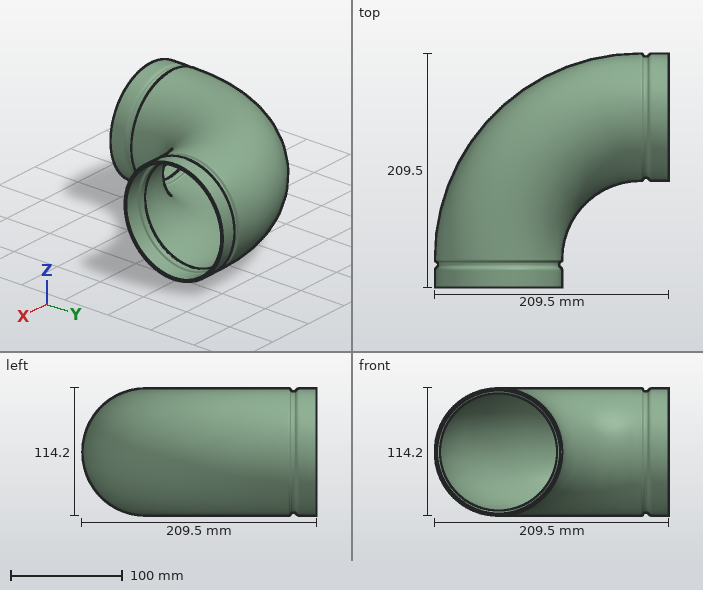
import cadquery as cq
import math

overall_size = 209.5
outer_diameter = 114.2
wall = 2.0
collar_length = 26.0

outer_radius = outer_diameter / 2
bore_radius = outer_radius - wall
end_to_center = overall_size - outer_radius
bend_radius = end_to_center - collar_length

groove_diameter = 108.8
groove_depth = (outer_diameter - groove_diameter) / 2
groove_start = 15.0

floor_start = 20.0
floor_end = 21.4
lip_crest_radius = 3.8
valley_radius = 1.7
bend_crest_radius = 1.7
bend_flank_slope = math.radians(60)

ridge_arc_length = 1.7


def revolve_outline(outline):
    """Close a collar outline along the pipe axis (Y) and revolve it to a solid of revolution."""
    return (
        outline
        .lineTo(0, collar_length)
        .close()
        .revolve(360, (0, 0, 0), (0, 1, 0))
        .translate((0, -end_to_center, 0))
    )


def collar_outside():
    """Solid collar with the outer shape of the rolled groove."""
    floor_radius = outer_radius - groove_depth

    lip_share = lip_crest_radius / (lip_crest_radius + valley_radius)
    lip_turn = (
        outer_radius - groove_depth * lip_share,
        groove_start + (floor_start - groove_start) * lip_share,
    )

    rise = 1 - math.cos(bend_flank_slope)
    run = math.sin(bend_flank_slope)
    cone_bottom = floor_radius + valley_radius * rise
    cone_top = outer_radius - bend_crest_radius * rise
    cone_start = floor_end + valley_radius * run
    cone_end = cone_start + (cone_top - cone_bottom) / math.tan(bend_flank_slope)
    crest_end = cone_end + bend_crest_radius * run

    outline = (
        cq.Workplane("XY")
        .lineTo(outer_radius, 0)
        .lineTo(outer_radius, groove_start)
        .tangentArcPoint(lip_turn, relative=False)
        .tangentArcPoint((floor_radius, floor_start), relative=False)
        .lineTo(floor_radius, floor_end)
        .tangentArcPoint((cone_bottom, cone_start), relative=False)
        .lineTo(cone_top, cone_end)
        .tangentArcPoint((outer_radius, crest_end), relative=False)
        .lineTo(outer_radius, collar_length)
    )
    return revolve_outline(outline)


def collar_bore():
    """Space inside the collar, narrowed by the ridge behind the groove."""
    ridge_radius = bore_radius - groove_depth
    turn_radius = bore_radius - groove_depth / 2
    ridge_start = groove_start + 2 * ridge_arc_length
    ridge_end = collar_length - 2 * ridge_arc_length

    outline = (
        cq.Workplane("XY")
        .lineTo(bore_radius, 0)
        .lineTo(bore_radius, groove_start)
        .tangentArcPoint((turn_radius, groove_start + ridge_arc_length), relative=False)
        .tangentArcPoint((ridge_radius, ridge_start), relative=False)
        .lineTo(ridge_radius, ridge_end)
        .tangentArcPoint((turn_radius, ridge_end + ridge_arc_length), relative=False)
        .tangentArcPoint((bore_radius, collar_length), relative=False)
    )
    return revolve_outline(outline)


def bend():
    """Quarter-torus pipe between the two collars."""
    return (
        cq.Workplane("XZ", origin=(0, -bend_radius, 0))
        .circle(outer_radius)
        .circle(bore_radius)
        .revolve(90, (bend_radius, 0, 0), (bend_radius, -1, 0))
    )


collar = collar_outside().cut(collar_bore())
second_collar = collar.rotate((0, 0, 0), (0, 0, 1), 90)
result = bend().union(collar).union(second_collar)